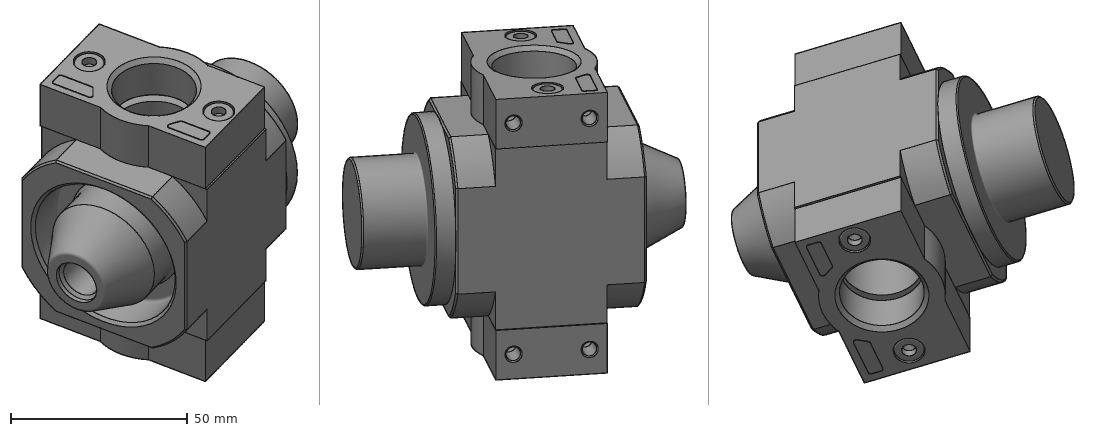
import cadquery as cq
import math

housing_size = 55.0
half_size = housing_size / 2
band_half_width = 16.1
flat_half_width = 16.0
corner_radius = math.hypot(half_size, flat_half_width)
housing_chamfer = 0.6

bore_diameter = 24.0
bore_chamfer = 1.3
seal_recess_diameter = 29.7
seal_recess_depth = 2.5

pocket_diameter = 46.45
pocket_depth = 11.9
pocket_edge = 0.9
nozzle_diameter = 33.9
nozzle_tip_diameter = 19.5
nozzle_reach = 14.7
nozzle_edge = 0.9
nozzle_hole_diameter = 11.4
nozzle_hole_depth = 18.9
nozzle_mouth_diameter = 13.3
nozzle_mouth_depth = 1.4

disc_diameter = 55.0
disc_thickness = 6.0
disc_chamfer = 0.4
knob_diameter = 32.0
knob_length = 19.0
knob_edge = 0.5

flange_thickness = 15.0
flange_overhang = 0.6
flange_left = -half_size - flange_overhang
flange_right = half_size - flange_overhang
bulge_radius = 18.0
side_hole_diameter = 4.2
side_hole_depth = 7.6
side_hole_chamfer = 0.4
side_hole_offset = 11.0
flange_top = half_size + flange_thickness

label_inner = 12.6
label_slant = 2.1
label_margin = 2.4
label_top = -9.3
label_bottom = -13.7
label_step = 1.2
label_depth = 0.2
label_corner = 0.8

screw_offset = 21.52
shank_diameter = 5.0
screw_depth_in_housing = 9.5
head_diameter = 8.5
head_height = 5.0
head_edge = 0.5
counterbore_diameter = 9.0
counterbore_depth = 5.2
socket_diameter = 4.2
socket_depth = 2.4
drill_point_angle = 118


def drill(diameter, depth, chamfer=0.0):
    """Blind drill shape pointing down from the origin, with a conical end and an edge chamfer."""
    radius = diameter / 2
    point = radius / math.tan(math.radians(drill_point_angle / 2))
    tool = cq.Workplane("XZ").moveTo(0, 0).lineTo(radius + chamfer, 0)
    if chamfer:
        tool = tool.lineTo(radius, -chamfer)
    return tool.lineTo(radius, -depth).lineTo(0, -depth - point).close().revolve(360, (0, 0), (0, 1))


def upright_cylinder(diameter, z_low, z_high, x=0.0):
    return cq.Workplane("XY", origin=(x, 0, z_low)).circle(diameter / 2).extrude(z_high - z_low)


def make_housing():
    length = housing_size
    ends = cq.Workplane("XZ", origin=(0, half_size, 0)).rect(length, length).extrude(length)
    ends = ends.intersect(cq.Workplane("XZ", origin=(0, half_size, 0)).circle(corner_radius).extrude(length))
    ends = ends.faces("<Y or >Y").chamfer(housing_chamfer)
    body = ends.union(cq.Workplane("XY").box(length, 2 * band_half_width, length))

    pocket = cq.Workplane("XZ", origin=(0, -half_size + pocket_depth, 0)).circle(pocket_diameter / 2)
    pocket = pocket.extrude(pocket_depth).faces(">Y").edges().fillet(pocket_edge)
    body = body.cut(pocket)
    body = body.faces("<Y").edges("%CIRCLE").edges(cq.selectors.RadiusNthSelector(0)).chamfer(pocket_edge)

    body = body.cut(upright_cylinder(bore_diameter, -half_size, half_size))
    for side in (-1, 1):
        for x in (-screw_offset, screw_offset):
            hole = upright_cylinder(shank_diameter, half_size - screw_depth_in_housing, half_size, x)
            body = body.cut(hole if side > 0 else hole.mirror("XY"))
    return body


def make_nozzle():
    foot = -half_size + pocket_depth
    front = -half_size
    tip = front - nozzle_reach
    radius = nozzle_diameter / 2
    root = nozzle_edge * (1 - math.sqrt(0.5))
    nozzle = (
        cq.Workplane("XY")
        .moveTo(0, foot)
        .lineTo(radius + nozzle_edge, foot)
        .threePointArc((radius + root, foot - root), (radius, foot - nozzle_edge))
        .lineTo(radius, front)
        .lineTo(nozzle_tip_diameter / 2, tip)
        .lineTo(0, tip)
        .close()
        .revolve(360, (0, 0), (0, 1))
    )
    nozzle = nozzle.faces("<Y").edges().fillet(nozzle_edge)
    hole_radius = nozzle_hole_diameter / 2
    mouth_radius = nozzle_mouth_diameter / 2
    mouth_end = tip + nozzle_mouth_depth
    hole = (
        cq.Workplane("XY")
        .moveTo(0, tip)
        .lineTo(mouth_radius, tip)
        .lineTo(mouth_radius, mouth_end)
        .lineTo(hole_radius, mouth_end + mouth_radius - hole_radius)
        .lineTo(hole_radius, tip + nozzle_hole_depth)
        .lineTo(0, tip + nozzle_hole_depth)
        .close()
        .revolve(360, (0, 0), (0, 1))
    )
    return nozzle.cut(hole)


def make_knob():
    disc_back = half_size + disc_thickness
    disc = cq.Workplane("XZ", origin=(0, disc_back, 0)).circle(disc_diameter / 2).extrude(disc_thickness)
    disc = disc.faces(">Y").chamfer(disc_chamfer)
    grip = cq.Workplane("XZ", origin=(0, disc_back + knob_length, 0)).circle(knob_diameter / 2)
    grip = grip.extrude(knob_length).faces(">Y").chamfer(knob_edge)
    knob = disc.union(grip)
    root = cq.selectors.BoxSelector(
        (-knob_diameter, disc_back - 0.1, -knob_diameter), (knob_diameter, disc_back + 0.1, knob_diameter)
    )
    return knob.edges(root).edges(cq.selectors.RadiusNthSelector(0)).fillet(knob_edge)


def make_label(side):
    outer = flange_right - label_margin if side > 0 else flange_left + label_margin
    points = [
        (outer, label_top),
        (side * (label_inner + label_slant), label_top),
        (side * label_inner, label_bottom + label_step),
        (side * label_inner, label_bottom),
        (outer, label_bottom),
    ]
    field = cq.Workplane("XY", origin=(0, 0, flange_top - label_depth)).polyline(points).close()
    return field.extrude(label_depth).edges("|Z").fillet(label_corner)


def make_top_flange():
    width = flange_right - flange_left
    slab = cq.Workplane("XY", origin=((flange_left + flange_right) / 2, 0, half_size))
    slab = slab.rect(width, 2 * band_half_width).extrude(flange_thickness)
    flange = slab.union(upright_cylinder(2 * bulge_radius, half_size, flange_top))
    flange = flange.cut(upright_cylinder(bore_diameter, half_size, flange_top))
    flange = flange.faces(">Z").edges(cq.selectors.RadiusNthSelector(0)).chamfer(bore_chamfer)
    flange = flange.cut(upright_cylinder(seal_recess_diameter, half_size, half_size + seal_recess_depth))

    for x in (-screw_offset, screw_offset):
        flange = flange.cut(upright_cylinder(shank_diameter, half_size, flange_top, x))
        flange = flange.cut(upright_cylinder(counterbore_diameter, flange_top - counterbore_depth, flange_top, x))

    side_hole = drill(side_hole_diameter, side_hole_depth, side_hole_chamfer)
    side_hole = side_hole.rotate((0, 0, 0), (0, 1, 0), -90)
    for y in (-side_hole_offset, side_hole_offset):
        flange = flange.cut(side_hole.translate((flange_left, y, half_size + flange_thickness / 2)))
    for side in (-1, 1):
        flange = flange.cut(make_label(side))
    return flange


def make_screw(x):
    """Screw of the top flange at the given X position."""
    seat = flange_top - counterbore_depth
    head_top = seat + head_height
    head = upright_cylinder(head_diameter, seat, head_top).faces(">Z").edges().fillet(head_edge)
    screw = head.union(upright_cylinder(shank_diameter, half_size - screw_depth_in_housing, seat))
    screw = screw.cut(drill(socket_diameter, socket_depth).translate((0, 0, head_top)))
    return screw.translate((x, 0, 0))


housing = make_housing()
nozzle = make_nozzle()
knob = make_knob()
top_flange = make_top_flange()
flanges = [top_flange, top_flange.mirror("XY")]

screws = []
for x in (-screw_offset, screw_offset):
    screw = make_screw(x)
    screws += [screw, screw.mirror("XY")]

bodies = [housing, nozzle, knob, *flanges, *screws]
result = cq.Compound.makeCompound([body.val() for body in bodies])